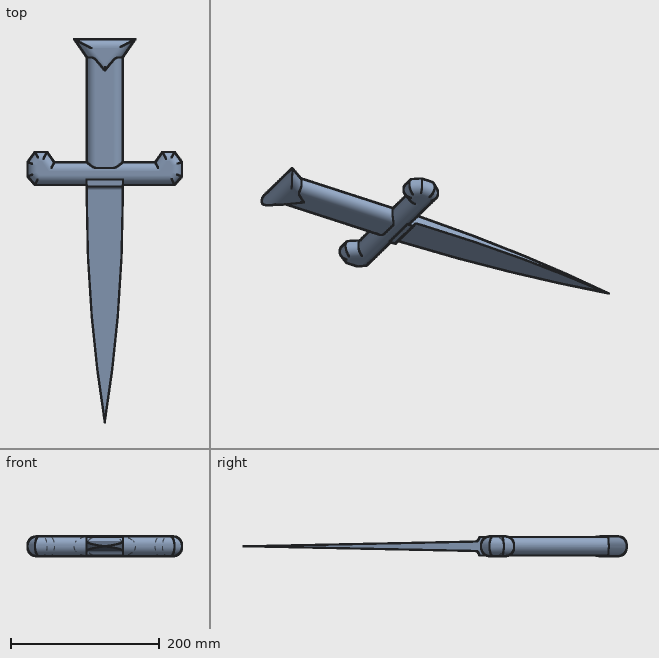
import cadquery as cq
import math

overall_length = 514.39
blade_length = 301.5
pommel_end_y = overall_length - blade_length

guard_thickness = 27.0
guard_half_span = 207.74 / 2
guard_edge_radius = 12.5
guard_bottom_y = 17.1
guard_bar_width = 30.7
guard_bar_top_y = guard_bottom_y + guard_bar_width
guard_chamfer_width = 10.3
guard_chamfer_height = 11.5
knob_corner_drop = 13.9
knob_top_y = guard_bar_top_y + knob_corner_drop
knob_top_outer_x = 93.6
knob_top_inner_x = 77.5
knob_root_x = 67.7

handle_width = 48.8
handle_thickness = 25.0
handle_radius = 12.4

pommel_edge_radius = 12.0
pommel_half_width = 41.0
pommel_shoulder_drop = 24.0
pommel_point_drop = 53.2
pommel_overlap = 15.0

blade_thickness = 13.0
blade_tip_thickness = 0.1
collar_thickness = 25.0
collar_end_y = 15.3
collar_face_slope = 63.5
collar_root_radius = 4.0


def plate(points, thickness):
    """Flat outline in XY, extruded evenly about Z = 0."""
    outline = cq.Workplane("XY").polyline(points).close()
    return outline.extrude(thickness / 2, both=True)


def rounded_plate(points, thickness, radius):
    """Plate with every top and bottom edge rounded."""
    return plate(points, thickness).faces("|Z").edges().fillet(radius)


def mirrored(right_side):
    """Complete a chain of right-hand points with its mirror image in X."""
    left_side = [(-x, y) for x, y in reversed(right_side) if x > 0]
    return right_side + left_side


def make_guard():
    right_side = [
        (guard_half_span - guard_chamfer_width, guard_bottom_y),
        (guard_half_span, guard_bottom_y + guard_chamfer_height),
        (guard_half_span, guard_bar_top_y),
        (knob_top_outer_x, knob_top_y),
        (knob_top_inner_x, knob_top_y),
        (knob_root_x, guard_bar_top_y),
    ]
    return rounded_plate(mirrored(right_side), guard_thickness, guard_edge_radius)


def make_handle():
    start_y = guard_bottom_y + guard_bar_width / 2
    length = pommel_end_y - pommel_overlap - start_y
    bar = cq.Workplane("XY").box(
        handle_width, length, handle_thickness, centered=(True, False, True)
    )
    return bar.edges("|Y").fillet(handle_radius).translate((0, start_y, 0))


def make_pommel():
    right_side = [
        (0, pommel_end_y - pommel_point_drop),
        (handle_width / 2, pommel_end_y - pommel_shoulder_drop),
        (pommel_half_width, pommel_end_y),
    ]
    return rounded_plate(mirrored(right_side), guard_thickness, pommel_edge_radius)


def make_blade():
    """Blade and collar: one quarter built above Z = 0 and right of X = 0, then mirrored twice."""
    start_y = guard_bottom_y + guard_bar_width / 2
    half_width = handle_width / 2
    half_collar = collar_thickness / 2
    half_blade = blade_thickness / 2
    half_tip = blade_tip_thickness / 2

    slope = math.radians(collar_face_slope)
    corner_y = collar_end_y - (half_collar - half_blade) / math.tan(slope)
    tangent_length = collar_root_radius * math.tan(slope / 2)
    round_start = (
        corner_y + tangent_length * math.cos(slope),
        half_blade + tangent_length * math.sin(slope),
    )
    round_end = (corner_y - tangent_length, half_blade)

    side = (
        cq.Workplane("YZ")
        .moveTo(start_y, 0)
        .lineTo(start_y, half_collar)
        .lineTo(collar_end_y, half_collar)
        .lineTo(*round_start)
        .tangentArcPoint(round_end, relative=False)
        .lineTo(-blade_length, half_tip)
        .lineTo(-blade_length, 0)
        .close()
        .extrude(half_width)
    )
    outline = (
        cq.Workplane("XY")
        .moveTo(0, start_y)
        .lineTo(half_width, start_y)
        .lineTo(half_width, 0)
        .tangentArcPoint((0, -blade_length), relative=False)
        .close()
        .extrude(half_collar)
    )
    quarter = side.intersect(outline)
    upper_half = quarter.union(quarter.mirror("YZ"))
    return upper_half.union(upper_half.mirror("XY")).clean()


result = make_guard().union(make_handle()).union(make_pommel()).union(make_blade())